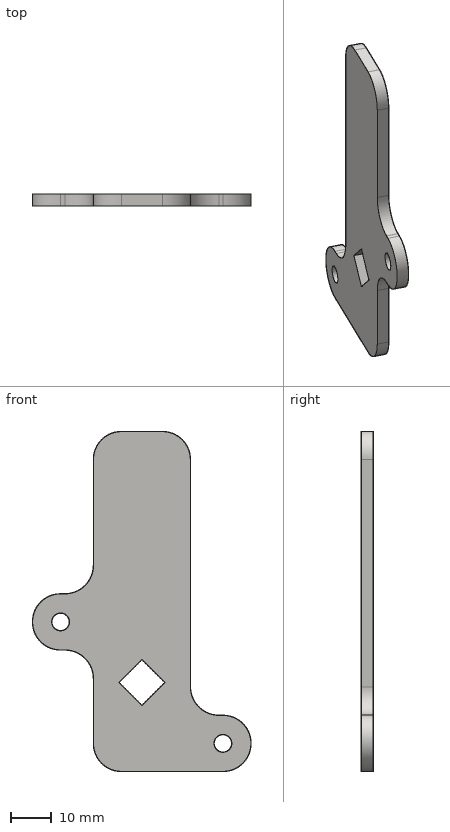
import cadquery as cq

height = 84.0
width = 54.0
thickness = 3.0

body_left = 15.0
body_width = 24.0
radius = 7.0
body_right = body_left + body_width
body_center = body_left + body_width / 2

left_ear_x = radius
left_ear_z = 37.0
right_ear_x = width - radius
right_ear_z = radius

hole_diameter = 4.3
square_side = 8.0
square_z = 22.0

left_ear_top = left_ear_z + radius
left_ear_bottom = left_ear_z - radius
right_ear_top = right_ear_z + radius


def make_plate():
    """Outline drawn counterclockwise from the bottom edge, every arc tangent to its neighbors."""
    return (
        cq.Workplane("XZ")
        .moveTo(body_left + radius, 0)
        .lineTo(right_ear_x, 0)
        .threePointArc((width, right_ear_z), (right_ear_x, right_ear_top))
        .lineTo(body_right + radius, right_ear_top)
        .tangentArcPoint((body_right, right_ear_top + radius), relative=False)
        .lineTo(body_right, height - radius)
        .tangentArcPoint((body_right - radius, height), relative=False)
        .lineTo(body_left + radius, height)
        .tangentArcPoint((body_left, height - radius), relative=False)
        .lineTo(body_left, left_ear_top + radius)
        .tangentArcPoint((body_left - radius, left_ear_top), relative=False)
        .lineTo(left_ear_x, left_ear_top)
        .threePointArc((0, left_ear_z), (left_ear_x, left_ear_bottom))
        .lineTo(body_left - radius, left_ear_bottom)
        .tangentArcPoint((body_left, left_ear_bottom - radius), relative=False)
        .lineTo(body_left, radius)
        .tangentArcPoint((body_left + radius, 0), relative=False)
        .close()
        .extrude(-thickness)
    )


def make_ear_holes():
    return (
        cq.Workplane("XZ")
        .pushPoints([(left_ear_x, left_ear_z), (right_ear_x, right_ear_z)])
        .circle(hole_diameter / 2)
        .extrude(-thickness)
    )


def make_square_opening():
    """Square standing on one corner, centered across the body."""
    return (
        cq.Workplane("XZ")
        .center(body_center, square_z)
        .transformed(rotate=(0, 0, 45))
        .rect(square_side, square_side)
        .extrude(-thickness)
    )


result = make_plate().cut(make_ear_holes()).cut(make_square_opening())